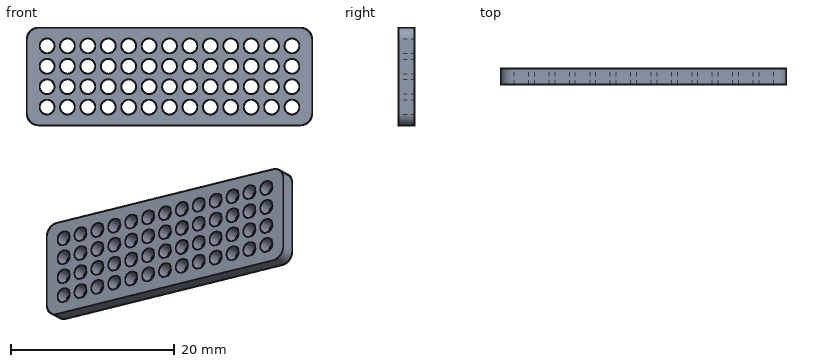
import cadquery as cq

plate_length = 35.0
plate_thickness = 2.0
plate_height = 12.0
corner_radius = 1.5

hole_diameter = 1.8
hole_columns = 13
hole_rows = 4
hole_pitch = plate_length / (hole_columns + 1)

plate = (
    cq.Workplane("XY")
    .box(plate_length, plate_thickness, plate_height)
    .edges("|Y")
    .fillet(corner_radius)
)

result = (
    plate.faces("<Y")
    .workplane(centerOption="CenterOfBoundBox")
    .rarray(hole_pitch, hole_pitch, hole_columns, hole_rows)
    .hole(hole_diameter)
)